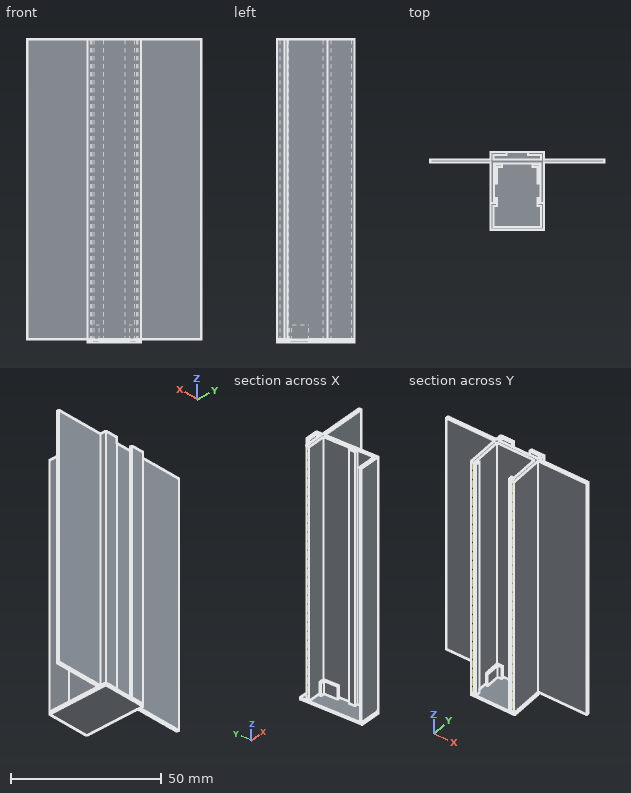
import cadquery as cq

total_height = 101.0
total_depth = 26.0
body_width = 18.0
wing_span = 58.0

cap_thickness = 0.8
cap_gap = 0.2
prong_thickness = 0.7
prong_clearance = 0.3
prong_length = 6.4
prong_return = 2.3
prong_height = 5.0

wall = 1.3
web_thickness = 1.4
wing_thickness = 1.0
wing_setback = 2.5
rear_lip_width = 5.4
rear_wall = 1.0

cover_depth = 9.0
cover_wall = 1.0
hook_thickness = 0.7
hook_clearance = 0.3
hook_height = 1.6

half_width = body_width / 2
extrusion_base = cap_thickness + cap_gap
extrusion_length = total_height - extrusion_base
web_rear = total_depth - wing_setback
web_front = web_rear - web_thickness
channel_half = half_width - wall


def block(x_min, x_max, y_min, y_max, z_min, height):
    """Rectangular block given by its limits in X and Y, its base and its height."""
    return (
        cq.Workplane("XY")
        .box(x_max - x_min, y_max - y_min, height, centered=False)
        .translate((x_min, y_min, z_min))
    )


def extruded_bar(x_min, x_max, y_min, y_max):
    """Full-length bar of an extrusion."""
    return block(x_min, x_max, y_min, y_max, extrusion_base, extrusion_length)


def add_both_sides(body, right_part):
    """Join a part and its mirror image about the YZ plane to a body."""
    return body.union(right_part).union(right_part.mirror("YZ"))


def make_profile():
    """Channel with two side wings and a lipped slot along its rear."""
    profile = extruded_bar(-half_width, half_width, web_front, web_rear)
    wings = extruded_bar(-wing_span / 2, wing_span / 2, web_rear - wing_thickness, web_rear)
    channel_wall = extruded_bar(channel_half, half_width, cover_depth, web_rear)
    slot_wall = extruded_bar(half_width - rear_wall, half_width, web_front, total_depth)
    slot_lip = extruded_bar(half_width - rear_lip_width, half_width, total_depth - rear_wall, total_depth)
    profile = profile.union(wings)
    for part in (channel_wall, slot_wall, slot_lip):
        profile = add_both_sides(profile, part)
    return profile


def make_cover():
    """U-shaped cover that closes the channel, with a hook inside each channel wall."""
    hook_outer = channel_half - hook_clearance
    hook_inner = hook_outer - hook_thickness
    cover = extruded_bar(-half_width, half_width, 0, cover_wall)
    side_wall = extruded_bar(half_width - cover_wall, half_width, 0, cover_depth)
    shelf = extruded_bar(hook_inner, half_width, cover_depth - cover_wall, cover_depth)
    hook = extruded_bar(hook_inner, hook_outer, cover_depth - cover_wall, cover_depth + hook_height)
    for part in (side_wall, shelf, hook):
        cover = add_both_sides(cover, part)
    return cover


def make_end_cap():
    """Plate below the extrusions, with two L-shaped prongs standing in the channel."""
    cap = block(-half_width, half_width, 0, total_depth, 0, cap_thickness)
    prong_x = channel_half - prong_clearance
    prong_y = web_front - prong_clearance
    long_leg = block(prong_x - prong_thickness, prong_x, prong_y - prong_length, prong_y,
                     0, cap_thickness + prong_height)
    short_leg = block(prong_x - prong_return, prong_x, prong_y - prong_thickness, prong_y,
                      0, cap_thickness + prong_height)
    return add_both_sides(cap, long_leg.union(short_leg))


profile = make_profile()
cover = make_cover()
end_cap = make_end_cap()

result = cq.Compound.makeCompound([profile.val(), cover.val(), end_cap.val()])